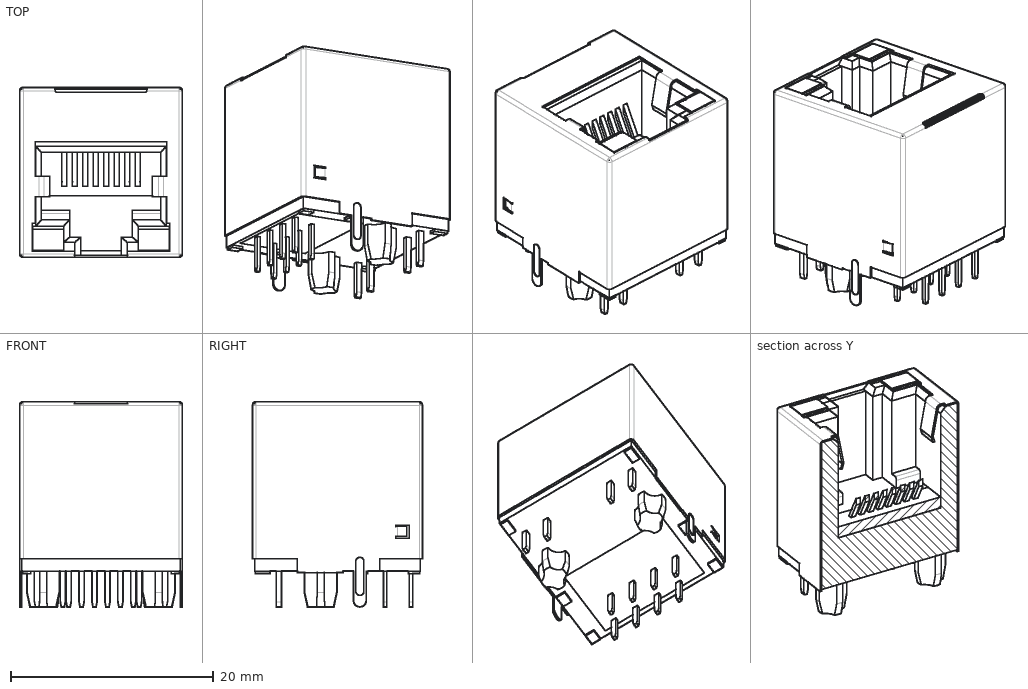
import cadquery as cq
import math


WIDTH = 16.1
DEPTH = 16.8
TOP = 16.75
SHEET = 0.2
EDGE_RADIUS = 0.35
HEM = 1.2
PIN_DROP = 3.55

HALF_WIDTH = WIDTH / 2
HALF_DEPTH = DEPTH / 2

APRON_BACK = 4.18
APRON_STEP = 0.57
APRON_FRONT = -3.95
APRON_DROP = 0.16

LEG_Y = 2.21
LEG_WIDTH = 1.28
GROOVE_WIDTH = 0.81
GROOVE_DEPTH = 0.06
GROOVE_TOP = 1.35
GROOVE_BOTTOM = -2.4

WINDOW_FRONT = 5.77
WINDOW_BACK = 7.08
WINDOW_BOTTOM = 3.27
WINDOW_TOP = 4.53
FLAP_ROOT = 5.89
FLAP_TIP = 6.86
FLAP_BOTTOM = 3.43
FLAP_TOP = 4.43
FLAP_BEND = 0.18

REAR_NOTCH_HALF = 4.55
REAR_NOTCH_FRONT = 7.92
REAR_NOTCH_DEPTH = 0.4
REAR_NOTCH_RADIUS = 0.2

OPENING_HALF = 6.52
OPENING_BACK = 3.02
OPENING_FRONT = -7.8
LENS_WINDOW_HALF = 6.78
LENS_WINDOW_BACK = -5.05
LATCH_NOTCH_HALF = 2.6

SPRING_BACK = -0.37
SPRING_FRONT = -2.44
SPRING_ROOT_X = 6.17
SPRING_BEND = 0.53
SPRING_KNEE_X = 5.08
SPRING_KNEE_Z = 13.3
SPRING_LIP_X = 5.25
SPRING_LIP_Z = 12.7

BODY_HALF_WIDTH = HALF_WIDTH - SHEET
BODY_HALF_DEPTH = HALF_DEPTH - SHEET
BODY_TOP = TOP - SHEET

CAVITY_FLOOR = 6.55
LEAD_IN = 0.59
CAVITY_HALF = 5.89
CAVITY_BACK = 1.97
CAVITY_FRONT = -4.69
LATCH_HALF = 3.1
LATCH_FRONT = -6.41
KEY_HALF = 1.99
MOUTH_HALF = 6.44
MOUTH_BACK = 2.55
MOUTH_FRONT = -5.32
MOUTH_LATCH_HALF = 3.7
MOUTH_LATCH_FRONT = -6.92
FRONT_WALL = -7.77

LEDGE_BACK = -3.75
LEDGE_HEIGHT = 1.22
LEDGE_RADIUS = 0.28

LENS_OUTER = 6.74
LENS_BACK = -5.65
LENS_FRONT = -7.7
LENS_RIM = 0.12

PEG_X = 5.72
PEG_Y = -1.66
PEG_RADIUS = 1.62
PEG_TIP_RADIUS = 1.32
PEG_RIB_HALF = 0.35
PEG_TAPER = 1.46

FOOT_HEIGHT = 0.25
FOOT_INSET = 0.06
FOOT_SPANS = [
    (6.95, FOOT_INSET - BODY_HALF_DEPTH, -6.65),
    (6.75, 1.79, 3.0),
    (6.75, 6.98, BODY_HALF_DEPTH - FOOT_INSET),
]

PIN_WIDTH = 0.53
PIN_TIP_WIDTH = 0.32
PIN_TAPER = 0.53
LED_PIN_X = [-6.31, -3.78, 3.78, 6.31]
LED_PIN_Y = -5.8
LED_PIN_THICKNESS = 0.55

CONTACT_COUNT = 8
INSERT_FRONT = -2.31
INSERT_BACK = 7.71
HEEL_FRONT = 0.4
SHELF_THICKNESS = 1.22
CONTACT_PITCH = 1.04
CONTACT_WIDTH = 0.5
CONTACT_DEPTH = 0.4
CONTACT_TOP = 12.9
CONTACT_FRONT = -1.35
SIGNAL_PIN_PITCH = 1.28
SIGNAL_ROWS = [7.27, 4.7]
SIGNAL_PIN_THICKNESS = 0.37


def block(x_low, x_high, y_low, y_high, z_low, z_high):
    """Axis-aligned box given by its limits."""
    size = (x_high - x_low, y_high - y_low, z_high - z_low)
    return cq.Workplane("XY").box(*size, centered=False).translate((x_low, y_low, z_low))


def with_mirror(shape):
    """A shape together with its copy on the other X side."""
    return shape.union(shape.mirror("YZ"))


def contact_positions(pitch):
    """X places of the contacts, evenly spaced about the centre."""
    return [(i - (CONTACT_COUNT - 1) / 2) * pitch for i in range(CONTACT_COUNT)]


def pin(x, y, thickness):
    """Flat solder pin below the board face, its tip tapered in X."""
    half = PIN_WIDTH / 2
    tip_half = PIN_TIP_WIDTH / 2
    outline = [
        (-half, 0),
        (half, 0),
        (half, PIN_TAPER - PIN_DROP),
        (tip_half, -PIN_DROP),
        (-tip_half, -PIN_DROP),
        (-half, PIN_TAPER - PIN_DROP),
    ]
    blank = cq.Workplane("XZ").polyline(outline).close().extrude(thickness / 2, both=True)
    return blank.translate((x, y, 0))


def shield_cup():
    """Five-sided sheet cup with rounded outer edges, open at the bottom."""
    outer = block(-HALF_WIDTH, HALF_WIDTH, -HALF_DEPTH, HALF_DEPTH, HEM, TOP)
    outer = outer.edges("|Z or >Z").fillet(EDGE_RADIUS)
    inner = block(
        -BODY_HALF_WIDTH, BODY_HALF_WIDTH, -BODY_HALF_DEPTH, BODY_HALF_DEPTH, HEM, BODY_TOP
    )
    return outer.cut(inner)


def side_apron():
    """Lower part of the left wall, with its grooved ground leg."""
    wall = (-HALF_WIDTH, -BODY_HALF_WIDTH)
    apron = block(*wall, APRON_FRONT, APRON_BACK, 0, HEM)
    apron = apron.union(block(*wall, APRON_FRONT, APRON_STEP, -APRON_DROP, 0))
    leg_radius = LEG_WIDTH / 2
    leg_end = leg_radius - PIN_DROP
    leg = (
        cq.Workplane("YZ", origin=(-HALF_WIDTH, 0, 0))
        .moveTo(LEG_Y - leg_radius, HEM)
        .lineTo(LEG_Y - leg_radius, leg_end)
        .threePointArc((LEG_Y, -PIN_DROP), (LEG_Y + leg_radius, leg_end))
        .lineTo(LEG_Y + leg_radius, HEM)
        .close()
        .extrude(SHEET)
    )
    return apron.union(leg)


def leg_groove():
    """Round-ended groove in the outer face of the left ground leg."""
    middle = (GROOVE_TOP + GROOVE_BOTTOM) / 2
    return (
        cq.Workplane("YZ", origin=(-HALF_WIDTH, LEG_Y, middle))
        .slot2D(GROOVE_TOP - GROOVE_BOTTOM, GROOVE_WIDTH, 90)
        .extrude(GROOVE_DEPTH)
    )


def window_block(x_low, x_high):
    """Block filling the left window between two X limits."""
    return block(x_low, x_high, WINDOW_FRONT, WINDOW_BACK, WINDOW_BOTTOM, WINDOW_TOP)


def side_window():
    """Opening through the left wall."""
    return window_block(-HALF_WIDTH, -BODY_HALF_WIDTH)


def locking_flap():
    """Flap in the left window, joined at its front edge and bent inward."""
    outline = [
        (-HALF_WIDTH, WINDOW_FRONT),
        (-HALF_WIDTH, FLAP_ROOT),
        (-HALF_WIDTH + FLAP_BEND, FLAP_TIP),
        (-BODY_HALF_WIDTH + FLAP_BEND, FLAP_TIP),
        (-BODY_HALF_WIDTH, FLAP_ROOT),
        (-BODY_HALF_WIDTH, WINDOW_FRONT),
    ]
    blank = cq.Workplane("XY", origin=(0, 0, FLAP_BOTTOM)).polyline(outline).close()
    return blank.extrude(FLAP_TOP - FLAP_BOTTOM)


def flap_pocket():
    """Relief in the left housing wall behind the locking flap."""
    return window_block(-BODY_HALF_WIDTH, -BODY_HALF_WIDTH + FLAP_BEND)


def shield_opening():
    """Mating opening with lens corners, and the run-out through the front edge."""
    opening = block(-OPENING_HALF, OPENING_HALF, OPENING_FRONT, OPENING_BACK, BODY_TOP, TOP)
    lenses = block(
        -LENS_WINDOW_HALF, LENS_WINDOW_HALF, OPENING_FRONT, LENS_WINDOW_BACK, BODY_TOP, TOP
    )
    run_out = block(
        -LATCH_NOTCH_HALF, LATCH_NOTCH_HALF, -HALF_DEPTH, OPENING_FRONT, BODY_TOP, TOP
    )
    return opening.union(lenses).union(run_out)


def rear_notch():
    """Notch across the rear top edge with rounded front corners."""
    notch = block(
        -REAR_NOTCH_HALF, REAR_NOTCH_HALF, REAR_NOTCH_FRONT, HALF_DEPTH,
        TOP - REAR_NOTCH_DEPTH, TOP,
    )
    return notch.edges("|Z and <Y").fillet(REAR_NOTCH_RADIUS)


def spring_finger():
    """Right-hand finger bent down from the top sheet into the cavity."""
    inner_bend = SPRING_BEND - SHEET
    centre_z = TOP - SPRING_BEND
    diagonal = math.sqrt(0.5)
    return (
        cq.Workplane("XZ", origin=(0, SPRING_BACK, 0))
        .moveTo(OPENING_HALF, TOP)
        .lineTo(SPRING_ROOT_X, TOP)
        .threePointArc(
            (SPRING_ROOT_X - SPRING_BEND * diagonal, centre_z + SPRING_BEND * diagonal),
            (SPRING_ROOT_X - SPRING_BEND, centre_z),
        )
        .lineTo(SPRING_KNEE_X, SPRING_KNEE_Z)
        .lineTo(SPRING_LIP_X, SPRING_LIP_Z)
        .lineTo(SPRING_LIP_X + SHEET, SPRING_LIP_Z)
        .lineTo(SPRING_KNEE_X + SHEET, SPRING_KNEE_Z)
        .lineTo(SPRING_ROOT_X - inner_bend, centre_z)
        .threePointArc(
            (SPRING_ROOT_X - inner_bend * diagonal, centre_z + inner_bend * diagonal),
            (SPRING_ROOT_X, BODY_TOP),
        )
        .lineTo(OPENING_HALF, BODY_TOP)
        .close()
        .extrude(SPRING_BACK - SPRING_FRONT)
    )


def make_shield():
    shield = shield_cup().union(with_mirror(side_apron()))
    shield = shield.cut(with_mirror(leg_groove()))
    shield = shield.cut(with_mirror(side_window())).union(with_mirror(locking_flap()))
    shield = shield.cut(shield_opening()).cut(rear_notch())
    return shield.union(with_mirror(spring_finger()))


def stepped_outline(height, half, back, front, latch_half, latch_front, key_half):
    """Plug outline at one height: wide body, latch step and narrow key."""
    right = [
        (half, back),
        (half, front),
        (latch_half, front),
        (latch_half, latch_front),
        (key_half, latch_front),
        (key_half, FRONT_WALL),
    ]
    left = [(-x, y) for x, y in reversed(right)]
    return cq.Workplane("XY", origin=(0, 0, height)).polyline(right + left).close()


def plug_cavity():
    """Stepped plug cavity with a sloped mouth."""
    throat_outline = (
        CAVITY_HALF, CAVITY_BACK, CAVITY_FRONT, LATCH_HALF, LATCH_FRONT, KEY_HALF,
    )
    mouth_outline = (
        MOUTH_HALF, MOUTH_BACK, MOUTH_FRONT, MOUTH_LATCH_HALF, MOUTH_LATCH_FRONT, LATCH_NOTCH_HALF,
    )
    throat_top = BODY_TOP - LEAD_IN
    throat = stepped_outline(CAVITY_FLOOR, *throat_outline).extrude(throat_top - CAVITY_FLOOR)
    lower = stepped_outline(throat_top, *throat_outline).wires().val()
    upper = stepped_outline(BODY_TOP, *mouth_outline).wires().val()
    mouth = cq.Workplane(cq.Solid.makeLoft([lower, upper], True))
    return throat.union(mouth)


def key_run_out():
    """Sloped-sided gap in the front wall that continues the key mouth."""
    outline = [
        (-KEY_HALF, BODY_TOP - LEAD_IN),
        (KEY_HALF, BODY_TOP - LEAD_IN),
        (LATCH_NOTCH_HALF, BODY_TOP),
        (-LATCH_NOTCH_HALF, BODY_TOP),
    ]
    gap = cq.Workplane("XZ", origin=(0, FRONT_WALL, 0)).polyline(outline).close()
    return gap.extrude(BODY_HALF_DEPTH + FRONT_WALL)


def floor_ledge():
    """Right-hand ledge on the cavity floor with a rounded back edge."""
    ledge = block(
        LATCH_HALF, CAVITY_HALF, CAVITY_FRONT, LEDGE_BACK,
        CAVITY_FLOOR, CAVITY_FLOOR + LEDGE_HEIGHT,
    )
    return ledge.edges(">Y and >Z").fillet(LEDGE_RADIUS)


def light_guide():
    """Right-hand lens and its slightly lower rim, standing in the shield opening."""
    lens = block(MOUTH_LATCH_HALF, LENS_OUTER, LENS_FRONT, LENS_BACK, BODY_TOP, TOP)
    rim = block(MOUTH_LATCH_HALF, LENS_OUTER, LENS_BACK, MOUTH_FRONT, BODY_TOP, TOP - LENS_RIM)
    return lens.union(rim)


def locating_peg():
    """Right-hand round peg with a tapered end and four hollows that leave a cross."""
    taper_top = PEG_TAPER - PIN_DROP
    outline = [
        (0, 0),
        (PEG_RADIUS, 0),
        (PEG_RADIUS, taper_top),
        (PEG_TIP_RADIUS, -PIN_DROP),
        (0, -PIN_DROP),
    ]
    peg = cq.Workplane("XZ").polyline(outline).close().revolve(360, (0, 0, 0), (0, 1, 0))
    hollows = (
        cq.Workplane("XY")
        .rect(2 * PEG_RADIUS, 2 * PEG_RADIUS, forConstruction=True)
        .vertices()
        .circle(PEG_RADIUS - PEG_RIB_HALF)
        .extrude(-PIN_DROP)
    )
    return peg.cut(hollows).translate((PEG_X, PEG_Y, 0))


def make_housing():
    housing = block(
        -BODY_HALF_WIDTH, BODY_HALF_WIDTH, -BODY_HALF_DEPTH, BODY_HALF_DEPTH, 0, BODY_TOP
    )
    housing = housing.cut(plug_cavity()).cut(key_run_out()).cut(insert_block())
    housing = housing.cut(with_mirror(flap_pocket()))
    for feature in (floor_ledge(), light_guide(), locating_peg()):
        housing = housing.union(with_mirror(feature))
    for x_inner, y_low, y_high in FOOT_SPANS:
        foot = block(x_inner, BODY_HALF_WIDTH - FOOT_INSET, y_low, y_high, -FOOT_HEIGHT, 0)
        housing = housing.union(with_mirror(foot))
    for x in LED_PIN_X:
        housing = housing.union(pin(x, LED_PIN_Y, LED_PIN_THICKNESS))
    return housing


def insert_block():
    """L-shaped block: a shelf flush with the cavity floor and a heel down to the board face."""
    shelf_bottom = CAVITY_FLOOR - SHELF_THICKNESS
    outline = [
        (INSERT_FRONT, CAVITY_FLOOR),
        (INSERT_BACK, CAVITY_FLOOR),
        (INSERT_BACK, 0),
        (HEEL_FRONT, 0),
        (HEEL_FRONT, shelf_bottom),
        (INSERT_FRONT, shelf_bottom),
    ]
    return cq.Workplane("YZ").polyline(outline).close().extrude(CAVITY_HALF, both=True)


def contact(x):
    """Sloping contact bar from the floor up to the cavity back wall."""
    slope = (CONTACT_TOP - CAVITY_FLOOR) / (CAVITY_BACK - CONTACT_FRONT)
    outline = [
        (CONTACT_FRONT, CAVITY_FLOOR),
        (CAVITY_BACK, CONTACT_TOP),
        (CAVITY_BACK, CONTACT_TOP - slope * CONTACT_DEPTH),
        (CONTACT_FRONT + CONTACT_DEPTH, CAVITY_FLOOR),
    ]
    blank = cq.Workplane("YZ").polyline(outline).close().extrude(CONTACT_WIDTH / 2, both=True)
    return blank.translate((x, 0, 0))


def make_contact_insert():
    insert = insert_block()
    for x in contact_positions(CONTACT_PITCH):
        insert = insert.union(contact(x))
    for index, x in enumerate(contact_positions(SIGNAL_PIN_PITCH)):
        row = SIGNAL_ROWS[index % len(SIGNAL_ROWS)]
        insert = insert.union(pin(x, row, SIGNAL_PIN_THICKNESS))
    return insert


shield = make_shield().solids()
housing = make_housing().solids()
contact_insert = make_contact_insert().solids()

result = cq.Compound.makeCompound([shield.val(), housing.val(), contact_insert.val()])